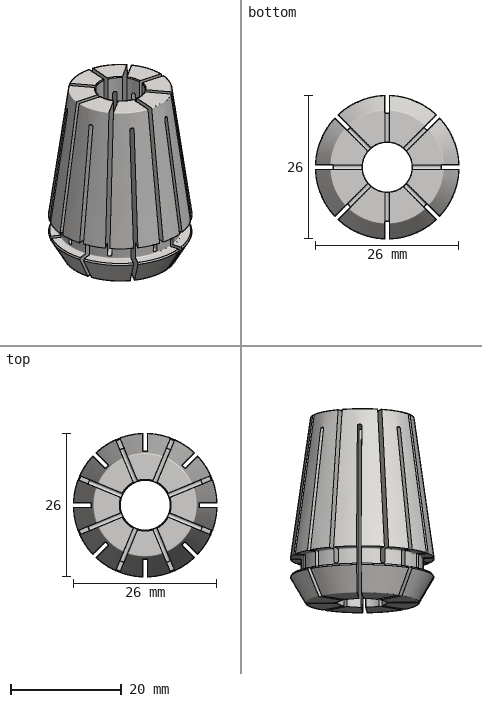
import cadquery as cq
import math

total_height = 34.0
max_radius = 13.0
bore_radius = 9.0 / 2

cone_half_angle = 8.0
cone_base_z = 8.13
cone_top_radius = max_radius - (total_height - cone_base_z) * math.tan(math.radians(cone_half_angle))
top_edge_break = 0.2
bore_edge_break = 0.17

neck_radius = 11.0
neck_bottom_z = 5.0
neck_fillet = 0.2

collar_radius = 12.95
collar_half_angle = 30.0
collar_rim_z = 4.7
collar_rim_break = 0.2
base_radius = collar_radius - collar_rim_z * math.tan(math.radians(collar_half_angle))
base_edge_break = 0.15

slots_per_end = 8
slot_width = 0.8
slot_pitch = 360.0 / slots_per_end
lower_slot_end_z = 31.05
upper_slot_end_z = 5.47


def revolved_body():
    """Turned collet body with its bore, before slotting."""
    profile = (
        cq.Workplane("XZ")
        .moveTo(bore_radius, 0)
        .lineTo(base_radius, 0)
        .lineTo(collar_radius, collar_rim_z)
        .lineTo(collar_radius - collar_rim_break, neck_bottom_z)
        .lineTo(neck_radius, neck_bottom_z)
        .lineTo(neck_radius, cone_base_z)
        .lineTo(max_radius, cone_base_z)
        .lineTo(cone_top_radius, total_height)
        .lineTo(bore_radius, total_height)
        .close()
    )
    return profile.revolve(360, (0, 0, 0), (0, 1, 0))


def circle_edges(body, radius, z):
    """Select the circular edges of a given radius at height z."""
    tolerance = 0.005
    return body.newObject([
        edge for edge in body.edges("%CIRCLE").vals()
        if abs(edge.radius() - radius) < tolerance and abs(edge.Center().z - z) < tolerance
    ])


def radial_slot(round_end_z, open_end_z, angle):
    """Cutter from the axis outwards, with a round end and an open end."""
    half_width = slot_width / 2
    direction = math.copysign(1, open_end_z - round_end_z)
    straight_start_z = round_end_z + direction * half_width
    straight_end_z = open_end_z + direction * half_width
    outline = (
        cq.Workplane("YZ")
        .moveTo(-half_width, straight_end_z)
        .lineTo(-half_width, straight_start_z)
        .threePointArc((0, round_end_z), (half_width, straight_start_z))
        .lineTo(half_width, straight_end_z)
        .close()
    )
    return outline.extrude(max_radius + slot_width).rotate((0, 0, 0), (0, 0, 1), angle)


result = revolved_body()
result = circle_edges(result, neck_radius, neck_bottom_z).fillet(neck_fillet)
result = circle_edges(result, neck_radius, cone_base_z).fillet(neck_fillet)
result = circle_edges(result, cone_top_radius, total_height).fillet(top_edge_break)
result = circle_edges(result, bore_radius, total_height).chamfer(bore_edge_break)
result = circle_edges(result, base_radius, 0).fillet(base_edge_break)

for index in range(slots_per_end):
    lower_angle = index * slot_pitch
    upper_angle = lower_angle + slot_pitch / 2
    result = result.cut(radial_slot(lower_slot_end_z, 0, lower_angle))
    result = result.cut(radial_slot(upper_slot_end_z, total_height, upper_angle))